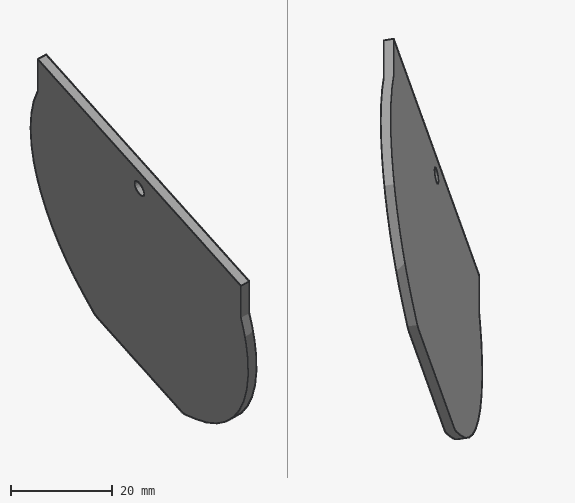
import cadquery as cq
import math

width = 75.0
height = 60.0
thickness = 2.0
back_face = (0, thickness / 2, 0)

tab_width = 70.0
tab_height = 10.0

ellipse_half_width = width / 2
ellipse_half_height = 39.0
ellipse_center_z = 36.0

slope_start_x = 19.5
bottom_corner_radius = 3.0

hole_diameter = 3.3
hole_depth_from_top = 5.0

ellipse_cosine = slope_start_x / ellipse_half_width
ellipse_sine = math.sqrt(1 - ellipse_cosine**2)
slope_start_z = ellipse_center_z - ellipse_half_height * ellipse_sine
slope_steepness = ellipse_half_height * ellipse_cosine / (ellipse_half_width * ellipse_sine)
bottom_half_width = slope_start_x - slope_start_z / slope_steepness


def make_tab():
    """Rectangular top of the plate."""
    return (
        cq.Workplane("XY")
        .box(tab_width, thickness, tab_height)
        .translate((0, 0, height - tab_height / 2))
    )


def make_body():
    """Elliptical plate, cut level with the top edge and with the start of the slopes."""
    ellipse = (
        cq.Workplane("XZ", origin=back_face)
        .center(0, ellipse_center_z)
        .ellipse(ellipse_half_width, ellipse_half_height)
        .extrude(thickness)
    )
    band_height = height - slope_start_z
    band = (
        cq.Workplane("XY")
        .box(width * 2, thickness * 2, band_height)
        .translate((0, 0, slope_start_z + band_height / 2))
    )
    return ellipse.intersect(band)


def make_foot():
    """Tapered bottom of the plate, with rounded lower corners."""
    return (
        cq.Workplane("XZ", origin=back_face)
        .polyline([
            (-slope_start_x, slope_start_z),
            (-bottom_half_width, 0),
            (bottom_half_width, 0),
            (slope_start_x, slope_start_z),
        ])
        .close()
        .extrude(thickness)
        .edges("|Y")
        .edges("<Z")
        .fillet(bottom_corner_radius)
    )


def make_hole_cutter():
    """Round through-hole centered below the top edge."""
    return (
        cq.Workplane("XZ", origin=back_face)
        .center(0, height - hole_depth_from_top)
        .circle(hole_diameter / 2)
        .extrude(thickness)
    )


plate = make_body().union(make_tab()).union(make_foot()).clean()
result = plate.cut(make_hole_cutter())